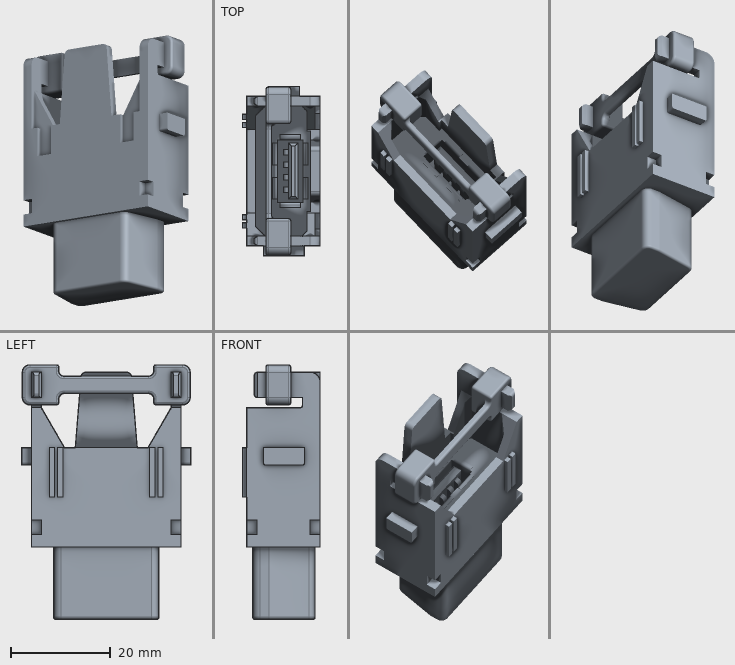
import cadquery as cq


HOUSING_X = 14.7
HOUSING_HALF_Y = 15.0
HOUSING_BOTTOM = 14.5
SHOULDER_Z = 42.5
RIM_Z = 34.5
ARM_TOP = 49.6

CAVITY_X0 = 1.75
CAVITY_X1 = 12.1
CAVITY_HALF_Y = 13.05
CAVITY_FLOOR = 28.6
FRONT_CORNER = 1.95
BACK_CORNER = 1.0
RECESS_X1 = 12.85
RECESS_HALF_Y = 8.05
RIM_HALF_Y = 8.4

GAP_X = 13.7
GAP_STEP_Y = 11.6
GAP_FLOOR = CAVITY_FLOOR
GAP_STEP_Z = RIM_Z

ARM_SLOT_Z = 44.5
ARM_SLOT_X = 11.15
ARM_SLOT_FILLET = 0.35
HOOK_X = 1.5
HOOK_BEVEL_X = 0.7
HOOK_BEVEL_SIDE = 0.5
HOOK_ROUND = 0.7
ARM_TOP_FILLET = 2.05

TONGUE_HALF_BASE = 6.25
TONGUE_HALF_TOP = 5.0
TONGUE_CORNER = 1.0

PLUG_X0 = 1.2
PLUG_X1 = 13.75
PLUG_HALF_Y = 10.6
PLUG_TAPER_X = 4.5
PLUG_END_HALF_Y = 8.9
PLUG_CORNER = 1.55
PLUG_BOTTOM_FILLET = 0.5

RIB_DEPTH = 0.85
RIB_WIDTH = 1.05
RIB_BOTTOM = 24.55
RIB_CENTERS_Y = (9.25, 10.9)
KEY_CENTER_X = 7.45
KEY_SPAN_Y = 34.0
KEY_BOTTOM = 30.95
KEY_FILLET = 0.4
FRONT_KEY_LENGTH = 8.25
BACK_KEY_LENGTH = 6.3
NOTCH_SIZE = 2.05
NOTCH_BOTTOM = 17.0
NOTCH_TOP = 20.0

CLIP_X0 = 3.85
CLIP_X1 = 8.85
CLIP_BOTTOM = 43.05
CLIP_TOP = 51.1
CLIP_HALF_Y = 16.85
CLIP_INNER_Y = 9.5
CLIP_CORNER = 1.55
CLIP_EDGE = 0.5
BAR_THICKNESS = 1.2
BAR_HEIGHT = 3.55
BAR_FILLET = 1.0
BAR_BACK_FILLET = 0.5

SOCKET_X0 = 6.2
SOCKET_X1 = 11.25
SOCKET_HALF_Y = 6.3
SOCKET_DEPTH = 8.7
SOCKET_FLOOR = CAVITY_FLOOR - SOCKET_DEPTH
BLADE_X0 = 8.4
BLADE_X1 = 10.25
BLADE_HALF_Y = 5.6
BLADE_CHAMFER = 0.55
CONTACT_COUNT = 4
CONTACT_PITCH = 2.5
CONTACT_WIDTH = 1.05
CONTACT_THICKNESS = 1.0
CONTACT_ROUND = 0.9
CONTACT_DROP = 1.55
LIP_WIDTH = 1.0
LIP_HEIGHT = 0.15
LIP_RADIUS = 0.5
END_LIP_LENGTH = 4.1
SIDE_LIP_LENGTH = 4.35
SIDE_LIP_CENTER_Y = 3.4


def box(x0, x1, y0, y1, z0, z1):
    return cq.Workplane("XY").box(x1 - x0, y1 - y0, z1 - z0, centered=False).translate((x0, y0, z0))


def prism_z(points, z0, z1):
    """Extrude an (x, y) outline from z0 to z1."""
    return cq.Workplane("XY").workplane(offset=z0).polyline(points).close().extrude(z1 - z0)


def prism_x(points, x0, x1):
    """Extrude a (y, z) outline from x0 to x1."""
    return cq.Workplane("YZ").workplane(offset=x0).polyline(points).close().extrude(x1 - x0)


def both_sides(solid):
    return solid.union(solid.mirror("XZ"))


def cavity():
    outline = [
        (CAVITY_X0, CAVITY_HALF_Y - FRONT_CORNER),
        (CAVITY_X0 + FRONT_CORNER, CAVITY_HALF_Y),
        (CAVITY_X1 - BACK_CORNER, CAVITY_HALF_Y),
        (CAVITY_X1, CAVITY_HALF_Y - BACK_CORNER),
    ]
    mirrored = [(x, -y) for x, y in reversed(outline)]
    pocket = prism_z(outline + mirrored, CAVITY_FLOOR, ARM_TOP)
    recess = box(CAVITY_X0, RECESS_X1, -RECESS_HALF_Y, RECESS_HALF_Y, CAVITY_FLOOR, ARM_TOP)
    return pocket.union(recess)


def wall_opening():
    """V-sided opening that lowers both X walls between the arms."""
    points = [
        (-RIM_HALF_Y, RIM_Z),
        (RIM_HALF_Y, RIM_Z),
        (CAVITY_HALF_Y, SHOULDER_Z),
        (CAVITY_HALF_Y, ARM_TOP),
        (-CAVITY_HALF_Y, ARM_TOP),
        (-CAVITY_HALF_Y, SHOULDER_Z),
    ]
    return prism_x(points, 0, HOUSING_X)


def arms_blank():
    """Housing block with rounded arm tops, the slots under the hooks and room for the hook tips."""
    block = box(0, HOUSING_X, -HOUSING_HALF_Y, HOUSING_HALF_Y, HOUSING_BOTTOM, ARM_TOP)
    block = block.edges("|Y and >X and >Z").fillet(ARM_TOP_FILLET)
    slot = box(0, ARM_SLOT_X, -HOUSING_HALF_Y, HOUSING_HALF_Y, SHOULDER_Z, ARM_SLOT_Z)
    slot = slot.edges("|Y and >X and <Z").fillet(ARM_SLOT_FILLET)
    hook_space = box(0, CLIP_X0, -HOUSING_HALF_Y, HOUSING_HALF_Y, SHOULDER_Z, ARM_TOP)
    return block.cut(slot).cut(hook_space)


def hook_tips():
    """Arm ends in front of the clip: bevelled on both sides, rounded above and below."""
    tip = box(HOOK_X, CLIP_X0, CAVITY_HALF_Y, HOUSING_HALF_Y, ARM_SLOT_Z, ARM_TOP)
    rounded = tip.edges("|Y and <X").fillet(HOOK_ROUND)
    bevel_x = HOOK_X + HOOK_BEVEL_X
    outline = [
        (CLIP_X0, CAVITY_HALF_Y),
        (bevel_x, CAVITY_HALF_Y),
        (HOOK_X, CAVITY_HALF_Y + HOOK_BEVEL_SIDE),
        (HOOK_X, HOUSING_HALF_Y - HOOK_BEVEL_SIDE),
        (bevel_x, HOUSING_HALF_Y),
        (CLIP_X0, HOUSING_HALF_Y),
    ]
    bevelled = prism_z(outline, ARM_SLOT_Z, ARM_TOP)
    return both_sides(rounded.intersect(bevelled))


def wall_gaps():
    """Two-level gaps between the tongue and the arms, open to the +X face."""
    deep = box(GAP_X, HOUSING_X, RIM_HALF_Y, GAP_STEP_Y, GAP_FLOOR, ARM_TOP)
    shallow = box(GAP_X, HOUSING_X, GAP_STEP_Y, CAVITY_HALF_Y, GAP_STEP_Z, ARM_TOP)
    return both_sides(deep.union(shallow))


def tongue():
    points = [
        (-TONGUE_HALF_BASE, RIM_Z),
        (TONGUE_HALF_BASE, RIM_Z),
        (TONGUE_HALF_TOP, ARM_TOP),
        (-TONGUE_HALF_TOP, ARM_TOP),
    ]
    return prism_x(points, RECESS_X1, HOUSING_X).faces(">Z").edges("|X").fillet(TONGUE_CORNER)


def plug():
    points = [
        (PLUG_X0, -PLUG_HALF_Y),
        (PLUG_TAPER_X, -PLUG_HALF_Y),
        (PLUG_X1, -PLUG_END_HALF_Y),
        (PLUG_X1, PLUG_END_HALF_Y),
        (PLUG_TAPER_X, PLUG_HALF_Y),
        (PLUG_X0, PLUG_HALF_Y),
    ]
    body = prism_z(points, 0, HOUSING_BOTTOM)
    body = body.edges("|Z and (<X or >X)").fillet(PLUG_CORNER)
    return body.faces("<Z").edges().fillet(PLUG_BOTTOM_FILLET)


def ribs():
    pair = cq.Workplane("XY")
    for center in RIB_CENTERS_Y:
        start = center - RIB_WIDTH / 2
        pair = pair.union(box(-RIB_DEPTH, 0, start, start + RIB_WIDTH, RIB_BOTTOM, RIM_Z))
    return both_sides(pair)


def key(length):
    """Key on the +Y side."""
    half = length / 2
    body = box(KEY_CENTER_X - half, KEY_CENTER_X + half, HOUSING_HALF_Y, KEY_SPAN_Y / 2, KEY_BOTTOM, RIM_Z)
    return body.edges("|Y and <Z").fillet(KEY_FILLET)


def corner_notches():
    notches = cq.Workplane("XY")
    for x in (0, HOUSING_X - NOTCH_SIZE):
        notch = box(x, x + NOTCH_SIZE, HOUSING_HALF_Y - NOTCH_SIZE, HOUSING_HALF_Y, NOTCH_BOTTOM, NOTCH_TOP)
        notches = notches.union(notch)
    return both_sides(notches)


def clip():
    """Dumbbell-shaped clip: two blocks on the arms joined by a thin bar."""
    center_z = (CLIP_BOTTOM + CLIP_TOP) / 2
    block = box(CLIP_X0, CLIP_X1, CLIP_INNER_Y, CLIP_HALF_Y, CLIP_BOTTOM, CLIP_TOP)
    block = block.edges("|X and >Y").fillet(CLIP_CORNER)
    block = block.edges("|X and <Y").fillet(CLIP_EDGE)
    bar = box(
        CLIP_X0, CLIP_X0 + BAR_THICKNESS, -CLIP_INNER_Y, CLIP_INNER_Y,
        center_z - BAR_HEIGHT / 2, center_z + BAR_HEIGHT / 2,
    )
    body = both_sides(block).union(bar)
    for side in (-1, 1):
        back_corner = (CLIP_X0 + BAR_THICKNESS, side * CLIP_INNER_Y, center_z)
        body = body.edges(cq.selectors.NearestToPointSelector(back_corner)).fillet(BAR_BACK_FILLET)
    for side in (-1, 1):
        for level in (-1, 1):
            corner = (CLIP_X0 + BAR_THICKNESS / 2, side * CLIP_INNER_Y, center_z + level * BAR_HEIGHT / 2)
            body = body.edges(cq.selectors.NearestToPointSelector(corner)).fillet(BAR_FILLET)
    return body.faces("<X or >X").edges().fillet(CLIP_EDGE)


def lip(length):
    """Raised lip reaching along +X, rounded toward X = 0; Z = 0 is the cavity floor."""
    root_z = LIP_HEIGHT - LIP_RADIUS
    return (
        cq.Workplane("XZ", origin=(0, length / 2, 0))
        .moveTo(0, root_z)
        .radiusArc((LIP_RADIUS, LIP_HEIGHT), LIP_RADIUS)
        .lineTo(LIP_WIDTH, LIP_HEIGHT)
        .lineTo(LIP_WIDTH, root_z)
        .close()
        .extrude(length)
    )


def lip_seat(length):
    """Block of floor that a lip replaces."""
    return box(0, LIP_WIDTH, -length / 2, length / 2, LIP_HEIGHT - LIP_RADIUS, 0)


def around_socket(shape):
    """Place shape(length) at both ends of the socket and twice along each long side."""
    center_x = (SOCKET_X0 + SOCKET_X1) / 2
    placed = cq.Workplane("XY")
    for side in (-1, 1):
        end = shape(END_LIP_LENGTH).rotate((0, 0, 0), (0, 0, 1), side * 90)
        placed = placed.union(end.translate((center_x, side * SOCKET_HALF_Y, CAVITY_FLOOR)))
        edge = shape(SIDE_LIP_LENGTH)
        y = side * SIDE_LIP_CENTER_Y
        placed = placed.union(edge.translate((SOCKET_X1, y, CAVITY_FLOOR)))
        placed = placed.union(edge.mirror("YZ").translate((SOCKET_X0, y, CAVITY_FLOOR)))
    return placed


def socket_opening():
    return box(SOCKET_X0, SOCKET_X1, -SOCKET_HALF_Y, SOCKET_HALF_Y, SOCKET_FLOOR, CAVITY_FLOOR)


def socket_blade():
    """Blade standing in the socket, with a row of contacts on its -X face."""
    blade = box(BLADE_X0, BLADE_X1, -BLADE_HALF_Y, BLADE_HALF_Y, SOCKET_FLOOR, CAVITY_FLOOR)
    blade = blade.faces(">Z").edges().chamfer(BLADE_CHAMFER)
    for i in range(CONTACT_COUNT):
        y = (i - (CONTACT_COUNT - 1) / 2) * CONTACT_PITCH
        contact = box(
            BLADE_X0 - CONTACT_THICKNESS, BLADE_X0, y - CONTACT_WIDTH / 2, y + CONTACT_WIDTH / 2,
            SOCKET_FLOOR, CAVITY_FLOOR - CONTACT_DROP,
        )
        blade = blade.union(contact.edges("|Y and <X and >Z").fillet(CONTACT_ROUND))
    return blade


housing = arms_blank().cut(cavity()).cut(wall_opening()).cut(wall_gaps())
housing = housing.union(hook_tips())
housing = housing.cut(corner_notches()).cut(socket_opening()).cut(around_socket(lip_seat))
housing = housing.union(around_socket(lip)).union(socket_blade())

result = housing.union(tongue()).union(plug()).union(ribs())
result = result.union(key(BACK_KEY_LENGTH)).union(key(FRONT_KEY_LENGTH).mirror("XZ")).union(clip())